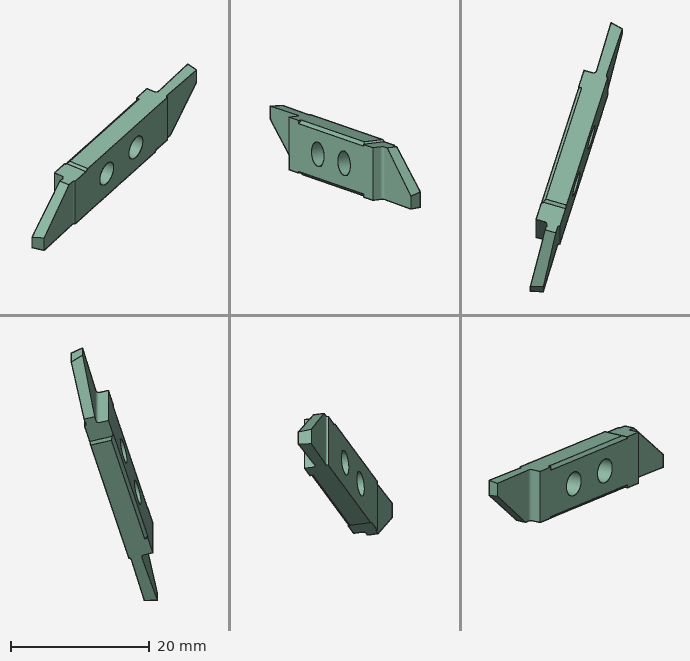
import cadquery as cq

LENGTH = 40.0
WIDTH = 3.6
HEIGHT = 8.0

TIP_HEIGHT = 1.9
HEEL_Y = 13.05
STEP_DEPTH = 0.25
RAMP_OUTER_Y = 9.1
RAMP_INNER_Y = 8.6

SHOULDER_Y = 11.9
LEFT_ROOT_FILLET = 0.45
RIGHT_ROOT_FILLET = 0.25
BLADE_ROOT_LEFT_X = -0.05
BLADE_ROOT_RIGHT_X = 1.5
BLADE_TIP_LEFT_X = -0.2
BLADE_TIP_RIGHT_X = 1.65
TIP_SKEW = 0.45

HOLE_DIAMETER = 3.55
HOLE_SPACING = 7.5
BEVEL_SIZE = 0.5
BEVEL_LENGTH = 18.4

half_length = LENGTH / 2
half_width = WIDTH / 2
half_height = HEIGHT / 2


def make_silhouette():
    """Side profile with a sloping relief and a stepped edge at each end."""
    step_z = half_height - STEP_DEPTH
    half_outline = [
        (half_length, half_height),
        (half_length, half_height - TIP_HEIGHT),
        (HEEL_Y, -step_z),
        (RAMP_OUTER_Y, -step_z),
        (RAMP_INNER_Y, -half_height),
    ]
    opposite_half = [(-y, -z) for y, z in half_outline]
    return (
        cq.Workplane("YZ")
        .polyline(half_outline + opposite_half)
        .close()
        .extrude(half_width, both=True)
    )


def make_blade_plan():
    """Plan of the blade at the +Y end, widening toward its skewed tip."""
    return (
        cq.Workplane("XY")
        .polyline([
            (BLADE_ROOT_LEFT_X, SHOULDER_Y),
            (BLADE_TIP_LEFT_X, half_length),
            (BLADE_TIP_RIGHT_X, half_length - TIP_SKEW),
            (BLADE_ROOT_RIGHT_X, SHOULDER_Y),
        ])
        .close()
        .extrude(half_height, both=True)
    )


def make_plan():
    """Plan form: full-width body with a narrow filleted blade at each end."""
    body = cq.Workplane("XY").box(WIDTH, 2 * SHOULDER_Y, HEIGHT)
    blade = make_blade_plan()
    plan = body.union(blade).union(blade.mirror("XZ"))
    for side in (-1, 1):
        root_y = side * SHOULDER_Y
        for root_x, fillet in (
            (BLADE_ROOT_LEFT_X, LEFT_ROOT_FILLET),
            (BLADE_ROOT_RIGHT_X, RIGHT_ROOT_FILLET),
        ):
            plan = plan.edges(cq.NearestToPointSelector((root_x, root_y, 0))).fillet(fillet)
    return plan


def make_bevel_cutter(side):
    """Triangular bar that bevels the upper or lower edge of the -X face."""
    return (
        cq.Workplane("XZ")
        .polyline([
            (-half_width, side * half_height),
            (-half_width + BEVEL_SIZE, side * half_height),
            (-half_width, side * (half_height - BEVEL_SIZE)),
        ])
        .close()
        .extrude(BEVEL_LENGTH / 2, both=True)
    )


def make_holes():
    """Two cross holes through the body along X."""
    return (
        cq.Workplane("YZ", origin=(-half_width, 0, 0))
        .pushPoints([(-HOLE_SPACING / 2, 0), (HOLE_SPACING / 2, 0)])
        .circle(HOLE_DIAMETER / 2)
        .extrude(WIDTH)
    )


insert = make_silhouette().intersect(make_plan()).cut(make_holes())
for edge_side in (-1, 1):
    insert = insert.cut(make_bevel_cutter(edge_side))

result = cq.Workplane(insert.solids().val())